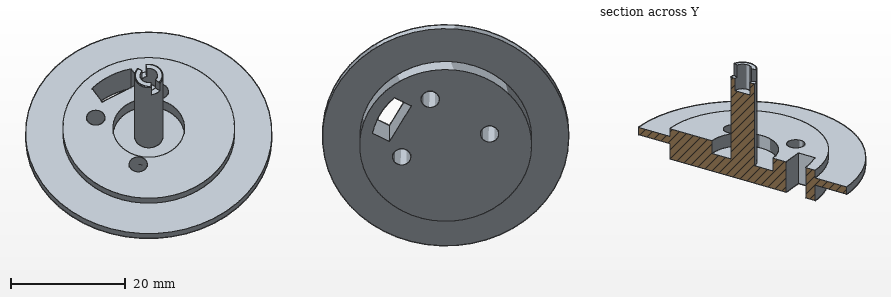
import cadquery as cq
import math

flange_diameter = 43.0
hub_diameter = 30.0
lower_hub_height = 3.0
flange_thickness = 1.5
upper_hub_height = 1.5
total_height = 21.95
flange_top = lower_hub_height + flange_thickness
hub_top = flange_top + upper_hub_height

recess_diameter = 12.5
recess_depth = 2.5
recess_floor = hub_top - recess_depth

pin_diameter = 5.0
tip_chamfer = 0.17
bore_diameter = 3.0
slot_depth = 2.4
bore_depth = 2 * slot_depth
slot_inner_width = 0.95
slot_outer_width = 1.8

hole_diameter = 3.2
inner_hole_radius = 8.0
outer_hole_radius = 9.5
hole_positions = [
    (inner_hole_radius, 135),
    (outer_hole_radius, 225),
    (inner_hole_radius, 315),
]

window_inner_x = -9.0
window_half_width = 4.0
window_arc_radius = 13.0


def cylinder(diameter, bottom, top):
    return cq.Workplane("XY").workplane(offset=bottom).circle(diameter / 2).extrude(top - bottom)


def make_disc():
    flange = cylinder(flange_diameter, lower_hub_height, flange_top)
    hub = cylinder(hub_diameter, 0, hub_top)
    return hub.union(flange).cut(cylinder(recess_diameter, recess_floor, hub_top))


def make_tip_slots():
    inner_x = bore_diameter / 2
    outer_x = pin_diameter / 2
    inner_y = slot_inner_width / 2
    outer_y = slot_outer_width / 2
    return (
        cq.Workplane("XY")
        .workplane(offset=total_height - slot_depth)
        .polyline([
            (-outer_x, -outer_y),
            (-inner_x, -inner_y),
            (inner_x, -inner_y),
            (outer_x, -outer_y),
            (outer_x, outer_y),
            (inner_x, inner_y),
            (-inner_x, inner_y),
            (-outer_x, outer_y),
        ])
        .close()
        .extrude(slot_depth)
    )


def make_pin():
    pin = cylinder(pin_diameter, 0, total_height).faces(">Z").chamfer(tip_chamfer)
    bore = cylinder(bore_diameter, total_height - bore_depth, total_height)
    return pin.cut(bore).cut(make_tip_slots())


def make_through_holes():
    centres = []
    for radius, degrees in hole_positions:
        angle = math.radians(degrees)
        centres.append((radius * math.cos(angle), radius * math.sin(angle)))
    return cq.Workplane("XY").pushPoints(centres).circle(hole_diameter / 2).extrude(hub_top)


def make_window():
    corner_x = -math.sqrt(window_arc_radius**2 - window_half_width**2)
    return (
        cq.Workplane("XY")
        .moveTo(window_inner_x, -window_half_width)
        .lineTo(window_inner_x, window_half_width)
        .lineTo(corner_x, window_half_width)
        .threePointArc((-window_arc_radius, 0), (corner_x, -window_half_width))
        .close()
        .extrude(hub_top)
    )


disc = make_disc().cut(make_through_holes()).cut(make_window())
result = disc.union(make_pin())